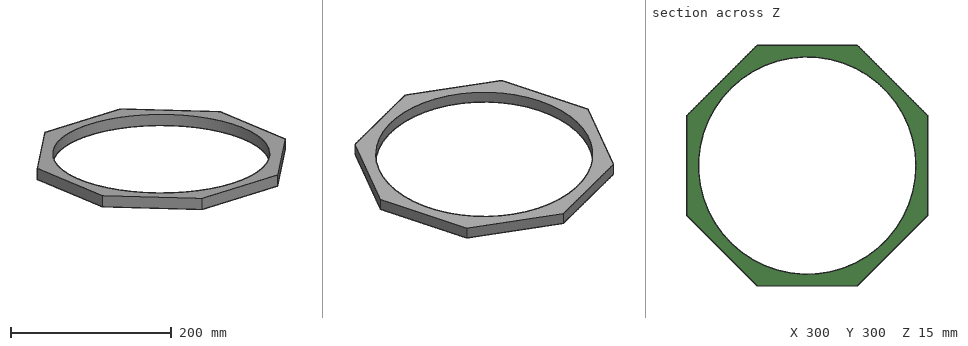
import cadquery as cq
import math

width_across_flats = 300.0
thickness = 15.0
bore_diameter = 270.0

side_count = 8
half_side_angle = 180.0 / side_count
width_across_corners = width_across_flats / math.cos(math.radians(half_side_angle))

octagon_plate = (
    cq.Workplane("XY")
    .polygon(side_count, width_across_corners)
    .extrude(thickness)
    .rotate((0, 0, 0), (0, 0, 1), half_side_angle)
)

bore = cq.Workplane("XY").circle(bore_diameter / 2).extrude(thickness)

result = octagon_plate.cut(bore)